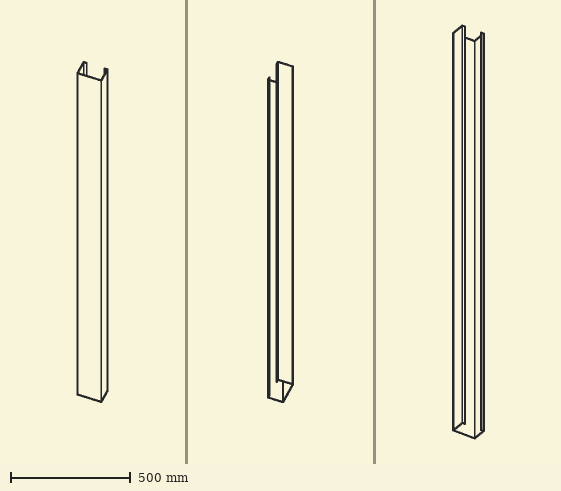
import cadquery as cq

width = 110.0
depth = 70.0
length = 2000.0
wall = 2.5
lip_length = 15.0

mouth_width = width - 2 * lip_length


def centred_bar(size_x, y_start, y_end):
    """Full-length bar centred on X, spanning y_start to y_end."""
    return cq.Workplane("XY").box(
        size_x, y_end - y_start, length, centered=(True, False, False)
    ).translate((0, y_start, 0))


envelope = centred_bar(width, 0, depth)
cavity = centred_bar(width - 2 * wall, wall, depth - wall)
mouth = centred_bar(mouth_width, depth - wall, depth)

result = envelope.cut(cavity).cut(mouth)